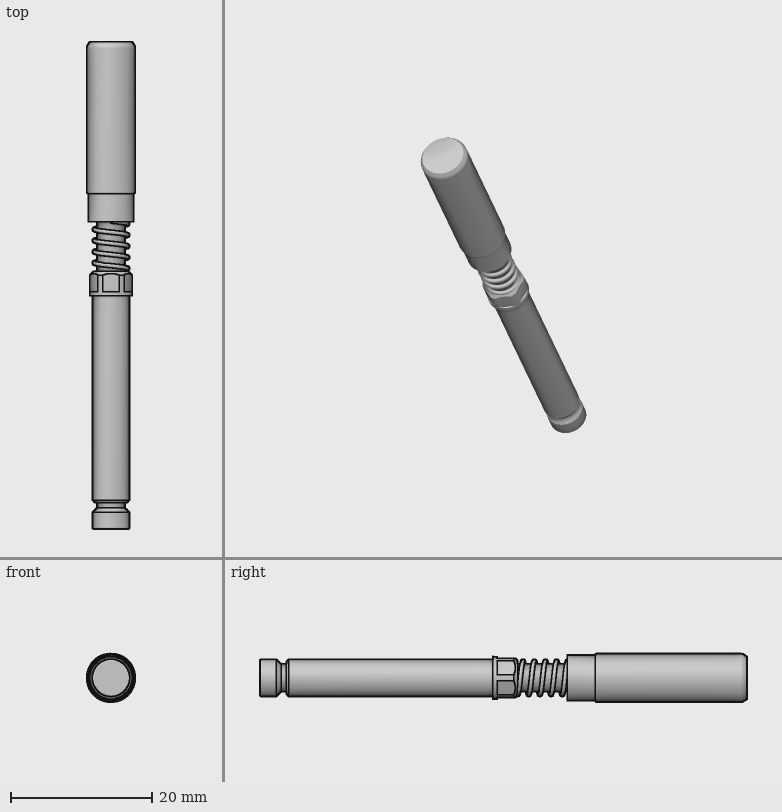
import cadquery as cq
import math

total_length = 69.0
sleeve_length = 21.5
collar_length = 4.0
collar_start = total_length - sleeve_length - collar_length
sleeve_start = total_length - sleeve_length
nut_start = 33.0
nut_length = 3.5
nut_end = nut_start + nut_length
head_length = 2.35
groove_length = 1.75

sleeve_dia = 6.9
collar_dia = 6.5
nut_dia = 6.05
shaft_dia = 5.3
neck_dia = 4.0

sleeve_bevel_depth = 0.45
sleeve_bevel_round = 0.8
sleeve_bevel_angle = math.radians(34)
sleeve_front_round = 0.2
groove_front_bevel = (shaft_dia - neck_dia) / 2
groove_rear_bevel = 0.35
head_round = 0.25
nut_bevel = 0.55

flat_count = 6
flats_width = 5.6
flange_length = 0.6
flats_start = nut_start + flange_length

wire_dia = 0.62
coil_radius = (shaft_dia - wire_dia) / 2
coil_pitch = 1.58
coil_turns = 4.75
coil_embed = 0.1
coil_start = collar_start + coil_embed


def cylinder(diameter, start, end):
    """Solid cylinder on the Y axis between two stations."""
    return cq.Workplane("XZ", origin=(0, end, 0)).circle(diameter / 2).extrude(end - start)


def make_shaft():
    """Long shaft with a grooved head at its plain end."""
    r = shaft_dia / 2
    n = neck_dia / 2
    groove_end = head_length + groove_length
    outline = [
        (0, 0),
        (r, 0),
        (r, head_length),
        (n, head_length + groove_front_bevel),
        (n, groove_end - groove_rear_bevel),
        (r - groove_rear_bevel, groove_end - groove_rear_bevel),
        (r, groove_end),
        (r, nut_start),
        (0, nut_start),
    ]
    shaft = cq.Workplane("XY").polyline(outline).close().revolve(360, (0, 0, 0), (0, 1, 0))
    return shaft.faces("<Y").edges().fillet(head_round)


def make_nut():
    """Round nut, bevelled towards the spring, with six flats."""
    nut = cylinder(nut_dia, nut_start, nut_end).faces(">Y").edges().chamfer(nut_bevel)
    hexagon = (
        cq.Workplane("XZ", origin=(0, nut_end, 0))
        .polygon(flat_count, flats_width / math.cos(math.pi / flat_count))
        .extrude(nut_end - flats_start)
    )
    flange = cylinder(nut_dia, nut_start, flats_start)
    return nut.intersect(hexagon.union(flange))


def make_spring():
    """Left-hand coil running from inside the collar down to the nut."""
    helix = cq.Wire.makeHelix(coil_pitch, coil_turns * coil_pitch, coil_radius, lefthand=True)
    wire_section = cq.Workplane("XZ", origin=(coil_radius, 0, 0)).circle(wire_dia / 2)
    coil = wire_section.sweep(cq.Workplane(helix), isFrenet=True)
    coil = coil.rotate((0, 0, 0), (0, 0, 1), 90).rotate((0, 0, 0), (1, 0, 0), 90)
    return coil.translate((0, coil_start, 0))


def make_sleeve():
    """Thick sleeve with a slimmer collar in front; its end bevel blends into the side."""
    r = sleeve_dia / 2
    blend_depth = sleeve_bevel_round * math.sin(sleeve_bevel_angle)
    blend_inset = sleeve_bevel_round * (1 - math.cos(sleeve_bevel_angle))
    bevel_inset = blend_inset + sleeve_bevel_depth * math.tan(sleeve_bevel_angle)
    bevel_end = total_length - sleeve_bevel_depth
    blend_end = bevel_end - blend_depth
    mid_angle = sleeve_bevel_angle / 2
    blend_middle = (
        r - sleeve_bevel_round * (1 - math.cos(mid_angle)),
        blend_end + sleeve_bevel_round * math.sin(mid_angle),
    )
    sleeve = (
        cq.Workplane("XY")
        .moveTo(0, sleeve_start)
        .lineTo(r, sleeve_start)
        .lineTo(r, blend_end)
        .threePointArc(blend_middle, (r - blend_inset, bevel_end))
        .lineTo(r - bevel_inset, total_length)
        .lineTo(0, total_length)
        .close()
        .revolve(360, (0, 0, 0), (0, 1, 0))
    )
    sleeve = sleeve.faces("<Y").edges().fillet(sleeve_front_round)
    return sleeve.union(cylinder(collar_dia, collar_start, sleeve_start))


neck = cylinder(neck_dia, nut_start, sleeve_start)
body = make_shaft().union(make_nut()).union(neck).union(make_sleeve())
result = body.union(make_spring())